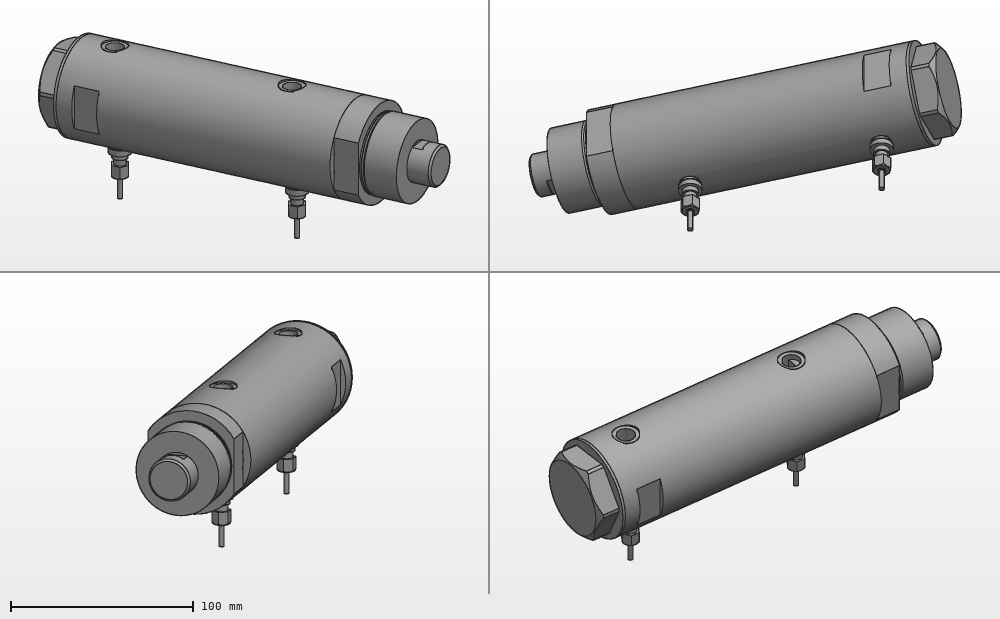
import cadquery as cq
import math


flange_start = 13.0
barrel_start = 14.8
plug_end = 38.5
piston_end = 57.2
gland_start = 147.5
barrel_end = 185.5
head_end = 200.7
collar_end = 223.9
rod_end = 238.5

overall_height = 91.3
barrel_diameter = 59.0
barrel_radius = barrel_diameter / 2
bore_radius = 20.0
gland_radius = 25.0
collar_diameter = 48.0
collar_radius = collar_diameter / 2
rod_diameter = 24.0
rod_radius = rod_diameter / 2

hex_across_flats = 46.0
hex_corner_radius = 26.0
hex_face_radius = 22.5
hex_chamfer_length = 2.9
hex_turn = -7.0

barrel_flat_start = 24.5
barrel_flat_length = 15.5
barrel_flat_width = 53.0
head_flat_width = 49.8
rod_flat_length = 6.2
rod_flat_width = 21.0
rod_chamfer = 1.2

neck_radius = 23.5
groove_radius = 23.1
neck_length = 1.0
groove_length = 1.2
groove_bevel = 1.0

station_pitch = 110.5
first_port_x = 35.5
first_sensor_x = 38.6
port_radius = 5.2
port_face_radius = 7.6
port_face_depth = 1.2

sensor_seat_depth = 0.7
sensor_base_radius = 6.0
sensor_collar_radius = 6.5
sensor_shoulder_radius = 4.5
sensor_neck_radius = 3.5
sensor_hex_across_flats = 9.3
sensor_stub_radius = 2.5
cable_radius = 1.5
sensor_base_end = -30.8
sensor_collar_end = -34.3
sensor_shoulder_end = -37.5
sensor_hex_top = -41.2
sensor_hex_end = -48.9
sensor_hex_chamfer = 1.0
sensor_stub_end = -49.5
cable_end = barrel_radius - overall_height

sensor_seat_z = sensor_seat_depth - barrel_radius
port_seat_z = barrel_radius - port_face_depth


def x_cylinder(radius, start, end):
    """Solid cylinder on the X axis between two stations."""
    return cq.Workplane("YZ", origin=(start, 0, 0)).circle(radius).extrude(end - start)


def z_cylinder(radius, x, bottom, top):
    """Solid upright cylinder at the given X between two heights."""
    return cq.Workplane("XY", origin=(x, 0, bottom)).circle(radius).extrude(top - bottom)


def two_flats(start, length, across):
    """Cutter that leaves two flats, facing -Y and +Y, the given distance apart."""
    size = barrel_diameter
    blank = cq.Workplane("XY").box(length, 2 * size, size)
    core = cq.Workplane("XY").box(length, across, size)
    return blank.cut(core).translate((start + length / 2, 0, 0))


def stations(first):
    """X positions of a pair of features one station pitch apart."""
    return [first, first + station_pitch]


def make_plug():
    corner_diameter = hex_across_flats / math.cos(math.pi / 6)
    hexagon = cq.Workplane("YZ").polygon(6, corner_diameter).extrude(flange_start)
    blank = (
        cq.Workplane("XY")
        .moveTo(0, 0)
        .lineTo(0, hex_face_radius)
        .lineTo(hex_chamfer_length, hex_corner_radius)
        .lineTo(flange_start, hex_corner_radius)
        .lineTo(flange_start, 0)
        .close()
        .revolve(360, (0, 0, 0), (1, 0, 0))
    )
    flange = x_cylinder(barrel_radius, flange_start, barrel_start)
    spigot = x_cylinder(bore_radius, barrel_start, plug_end)
    plug = hexagon.intersect(blank).union(flange).union(spigot)
    return plug.rotate((0, 0, 0), (1, 0, 0), hex_turn)


def make_barrel():
    barrel = x_cylinder(barrel_radius, barrel_start, barrel_end)
    barrel = barrel.cut(x_cylinder(bore_radius, barrel_start, gland_start))
    barrel = barrel.cut(x_cylinder(gland_radius, gland_start, barrel_end))
    barrel = barrel.cut(two_flats(barrel_flat_start, barrel_flat_length, barrel_flat_width))
    for x in stations(first_port_x):
        barrel = barrel.cut(z_cylinder(port_radius, x, 0, barrel_radius))
        barrel = barrel.cut(z_cylinder(port_face_radius, x, port_seat_z, barrel_radius))
    for x in stations(first_sensor_x):
        barrel = barrel.cut(z_cylinder(sensor_base_radius, x, -barrel_radius, sensor_seat_z))
    return barrel


def make_gland():
    groove_start = head_end + neck_length
    groove_end = groove_start + groove_length
    gland = (
        cq.Workplane("XY")
        .moveTo(gland_start, rod_radius)
        .lineTo(gland_start, gland_radius)
        .lineTo(barrel_end, gland_radius)
        .lineTo(barrel_end, barrel_radius)
        .lineTo(head_end, barrel_radius)
        .lineTo(head_end, neck_radius)
        .lineTo(groove_start, neck_radius)
        .lineTo(groove_start, groove_radius)
        .lineTo(groove_end, groove_radius)
        .lineTo(groove_end + groove_bevel, collar_radius)
        .lineTo(collar_end, collar_radius)
        .lineTo(collar_end, rod_radius)
        .close()
        .revolve(360, (0, 0, 0), (1, 0, 0))
    )
    return gland.cut(two_flats(barrel_end, head_end - barrel_end, head_flat_width))


def make_rod():
    rod = x_cylinder(rod_radius, plug_end, rod_end).faces(">X").chamfer(rod_chamfer)
    piston = x_cylinder(bore_radius, plug_end, piston_end)
    flats = two_flats(collar_end, rod_flat_length, rod_flat_width)
    flats = flats.rotate((0, 0, 0), (1, 0, 0), 90)
    return rod.union(piston).cut(flats)


def make_sensor(x):
    sensor = z_cylinder(sensor_base_radius, x, sensor_base_end, sensor_seat_z)
    sensor = sensor.union(z_cylinder(sensor_collar_radius, x, sensor_collar_end, sensor_base_end))
    sensor = sensor.union(z_cylinder(sensor_shoulder_radius, x, sensor_shoulder_end, sensor_collar_end))
    sensor = sensor.union(z_cylinder(sensor_neck_radius, x, sensor_hex_top, sensor_shoulder_end))
    corner_diameter = sensor_hex_across_flats / math.cos(math.pi / 6)
    nut = (
        cq.Workplane("XY", origin=(x, 0, sensor_hex_end))
        .polygon(6, corner_diameter)
        .extrude(sensor_hex_top - sensor_hex_end)
    )
    blank = z_cylinder(corner_diameter / 2, x, sensor_hex_end, sensor_hex_top)
    blank = blank.faces("<Z").chamfer(sensor_hex_chamfer)
    sensor = sensor.union(nut.intersect(blank))
    sensor = sensor.union(z_cylinder(sensor_stub_radius, x, sensor_stub_end, sensor_hex_end))
    return sensor.union(z_cylinder(cable_radius, x, cable_end, sensor_stub_end))


plug = make_plug()
barrel = make_barrel()
gland = make_gland()
rod = make_rod()
sensors = [make_sensor(x) for x in stations(first_sensor_x)]

result = cq.Compound.makeCompound(
    [plug.val(), barrel.val(), gland.val(), rod.val(), *[sensor.val() for sensor in sensors]]
)